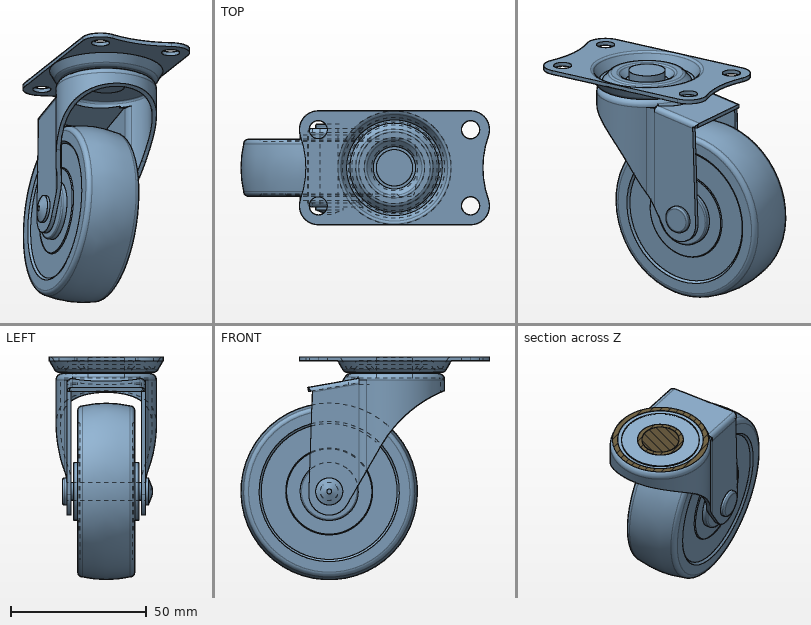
import cadquery as cq
import math


PLATE_THICKNESS = 1.5
HOLE_X = 28.0
HOLE_Y = 14.0
HOLE_DIAMETER = 6.6
CORNER_RADIUS = 7.0
PLATE_HALF_WIDTH = HOLE_Y + CORNER_RADIUS
WAIST_RADIUS = 35.0

PRESSED_RADIUS = 20.9
DISH_RIM_RADIUS = 20.0
GROOVE_OUTER_RADIUS = 17.6
GROOVE_INNER_RADIUS = 16.4
RING_OUTER_RADIUS = 13.8
RING_INNER_RADIUS = 10.5
WELL_RADIUS = 7.8
GROOVE_Z = -4.2
RING_Z = -1.3
PRESSED_BEND_RADIUS = 1.3
DISH_BOTTOM_RADIUS = 2.0

KING_PIN_RADIUS = 6.7
KING_PIN_TOP_Z = -0.3

SHEET = 1.6
CAP_RADIUS = 18.5
CAP_TOP_Z = -6.1
CAP_EDGE_RADIUS = 2.4
RACE_BOSS_RADIUS = 14.3
LEG_OUTER_Y = 14.5
LEG_INNER_Y = LEG_OUTER_Y - SHEET
BLEND_RADIUS = 5.0
BRIDGE_SLOPE = math.radians(10)
BRIDGE_FRONT_X = -31.9
BRIDGE_FRONT_Z = -11.2
BRIDGE_BEND_RADIUS = 2.0
BRIDGE_CORNER_RADIUS = 1.7
RAMP_SLOPE = math.radians(60)
RAMP_FOOT_RADIUS = 19.3
LEG_TOP_FRONT_X = -30.2
LEG_TIP_RADIUS = 7.5
LEG_TIP_DROP = 1.2
SKIRT_SLOPE = math.radians(60)
SKIRT_BEND_X = -5.0
SKIRT_END_Z = -12.4

AXLE_X = -24.0
AXLE_Z = -49.5
WHEEL_RADIUS = 32.5
WHEEL_HALF_WIDTH = 10.5
TREAD_HALF_WIDTH = 8.8
TREAD_EDGE_RADIUS = 31.5
SHOULDER_RADIUS = 29.7
RECESS_RIM_RADIUS = 25.8
RECESS_FLOOR_RADIUS = 25.0
RECESS_DEPTH = 0.8
STEP_OUTER_RADIUS = 16.0
STEP_INNER_RADIUS = 15.7
STEP_HEIGHT = 0.4
HUB_RADIUS = 10.7
HUB_HALF_WIDTH = 12.1
HUB_ROUND = 0.5

AXLE_RADIUS = 3.3
HEAD_RADIUS = 5.0
FLAT_HEAD_HEIGHT = 1.6
FLAT_HEAD_ROUND = 0.7
DOME_RIM_HEIGHT = 1.0
DOME_HEIGHT = 2.6
DIMPLE_RADIUS = 0.9
DIMPLE_DEPTH = 0.6

TOLERANCE = 0.001


def mirrored(points):
    """Points followed by their mirror image across the middle of the axle."""
    return points + [(-y, r) for y, r in reversed(points)]


def disc(radius, bottom, top):
    return cq.Workplane("XY", origin=(0, 0, bottom)).circle(radius).extrude(top - bottom)


def fillet_circle(body, radius, centre, fillet_radius):
    """Fillet the circular edge that has the given radius and centre."""
    middle = cq.Vector(*centre)

    def matches(edge):
        return abs(edge.radius() - radius) < TOLERANCE and (edge.Center() - middle).Length < TOLERANCE

    return body.newObject(list(filter(matches, body.edges("%CIRCLE").vals()))).fillet(fillet_radius)


def side_prism(outline, half_width):
    """Extrude an XZ outline symmetrically about the Y = 0 plane."""
    return outline.close().extrude(half_width, both=True)


def plate_blank():
    reach = WAIST_RADIUS + CORNER_RADIUS
    rise = math.asin(HOLE_Y / reach)
    waist_x = HOLE_X + reach * math.cos(rise) - WAIST_RADIUS
    touch_x = HOLE_X + CORNER_RADIUS * math.cos(rise)
    touch_y = HOLE_Y - CORNER_RADIUS * math.sin(rise)
    corner_middle = (math.pi / 2 - rise) / 2
    bulge_x = HOLE_X + CORNER_RADIUS * math.cos(corner_middle)
    bulge_y = HOLE_Y + CORNER_RADIUS * math.sin(corner_middle)

    outline = cq.Workplane("XY", origin=(0, 0, -PLATE_THICKNESS)).moveTo(-HOLE_X, -PLATE_HALF_WIDTH)
    for side in (1, -1):
        outline = (
            outline.lineTo(side * HOLE_X, -side * PLATE_HALF_WIDTH)
            .threePointArc((side * bulge_x, -side * bulge_y), (side * touch_x, -side * touch_y))
            .threePointArc((side * waist_x, 0), (side * touch_x, side * touch_y))
            .threePointArc((side * bulge_x, side * bulge_y), (side * HOLE_X, side * PLATE_HALF_WIDTH))
        )
    blank = outline.close().extrude(PLATE_THICKNESS)
    holes = (
        cq.Workplane("XY", origin=(0, 0, -PLATE_THICKNESS))
        .rect(2 * HOLE_X, 2 * HOLE_Y, forConstruction=True)
        .vertices()
        .circle(HOLE_DIAMETER / 2)
        .extrude(PLATE_THICKNESS)
    )
    return blank.cut(holes)


def offset_corners(points, distance):
    """Shift a polyline to its right by a distance, with mitred corners."""
    headings = [
        math.atan2(z2 - z1, r2 - r1) for (r1, z1), (r2, z2) in zip(points, points[1:])
    ]
    before = [headings[0]] + headings
    after = headings + [headings[-1]]
    shifted = []
    for (r, z), start, end in zip(points, before, after):
        middle = (start + end) / 2
        reach = distance / math.cos((end - start) / 2)
        shifted.append((r + reach * math.sin(middle), z - reach * math.cos(middle)))
    return shifted


def raceway():
    upper = [
        (KING_PIN_RADIUS, GROOVE_Z),
        (WELL_RADIUS, GROOVE_Z),
        (RING_INNER_RADIUS, RING_Z),
        (RING_OUTER_RADIUS, RING_Z),
        (GROOVE_INNER_RADIUS, GROOVE_Z),
        (GROOVE_OUTER_RADIUS, GROOVE_Z),
        (DISH_RIM_RADIUS, 0),
        (PRESSED_RADIUS, 0),
    ]
    lower = offset_corners(upper, PLATE_THICKNESS)
    outline = cq.Workplane("XZ").polyline(upper + lower[::-1]).close()
    sheet = outline.revolve(360, (0, 0, 0), (0, 1, 0))
    raised_bends = [(RING_INNER_RADIUS, RING_Z), (RING_OUTER_RADIUS, RING_Z), (DISH_RIM_RADIUS, 0)]
    for radius, height in raised_bends:
        sheet = fillet_circle(sheet, radius, (0, 0, height), PRESSED_BEND_RADIUS)
    bottom_radius, bottom_z = lower[upper.index((GROOVE_OUTER_RADIUS, GROOVE_Z))]
    return fillet_circle(sheet, bottom_radius, (0, 0, bottom_z), DISH_BOTTOM_RADIUS)


def make_plate():
    opening = disc(PRESSED_RADIUS, -PLATE_THICKNESS, 0)
    return plate_blank().cut(opening).union(raceway())


def make_king_pin():
    return disc(KING_PIN_RADIUS, CAP_TOP_Z - SHEET, KING_PIN_TOP_Z)


FORK_BOTTOM_Z = AXLE_Z - LEG_TIP_DROP - LEG_TIP_RADIUS
BLEND_START_X = -math.sqrt((CAP_RADIUS + BLEND_RADIUS) ** 2 - (LEG_OUTER_Y + BLEND_RADIUS) ** 2)
CAP_EDGE_Z = CAP_TOP_Z - CAP_EDGE_RADIUS
BRIDGE_DROP = SHEET / math.cos(BRIDGE_SLOPE)


def bridge_z(x):
    return BRIDGE_FRONT_Z + (x - BRIDGE_FRONT_X) * math.tan(BRIDGE_SLOPE)


def blend_wedges(sheet_inset, top):
    """Corner fill between legs and round skirt, for the outer or the inset inner surface."""
    leg_y = LEG_OUTER_Y - sheet_inset
    arc_radius = BLEND_RADIUS + sheet_inset
    centre_y = LEG_OUTER_Y + BLEND_RADIUS
    to_axis = math.atan2(-centre_y, -BLEND_START_X)
    mid_angle = (to_axis - math.pi / 2) / 2
    arc_points = [
        (BLEND_START_X + arc_radius * math.cos(angle), centre_y + arc_radius * math.sin(angle))
        for angle in (mid_angle, to_axis)
    ]
    wedge = (
        cq.Workplane("XY", origin=(0, 0, FORK_BOTTOM_Z))
        .moveTo(BLEND_START_X, leg_y)
        .threePointArc(*arc_points)
        .lineTo(arc_points[1][0], 0)
        .lineTo(BLEND_START_X, 0)
        .close()
        .extrude(top - FORK_BOTTOM_Z)
    )
    return wedge.union(wedge.mirror("XZ"))


def cap_ramp():
    """Cone tangent to the rounded cap edge, kept only over the flat of the bridge."""
    head_radius = CAP_RADIUS - CAP_EDGE_RADIUS * (1 - math.sin(RAMP_SLOPE))
    head_z = CAP_EDGE_Z + CAP_EDGE_RADIUS * math.cos(RAMP_SLOPE)
    foot_z = head_z - (RAMP_FOOT_RADIUS - head_radius) * math.tan(RAMP_SLOPE)
    inner_radius = CAP_RADIUS - SHEET / 2
    section = [
        (inner_radius, foot_z),
        (RAMP_FOOT_RADIUS, foot_z),
        (head_radius, head_z),
        (inner_radius, head_z),
    ]
    cone = cq.Workplane("XZ").polyline(section).close().revolve(360, (0, 0, 0), (0, 1, 0))
    flat_half_width = LEG_OUTER_Y - BRIDGE_BEND_RADIUS
    keep = cq.Workplane("XY").box(
        RAMP_FOOT_RADIUS, 2 * flat_half_width, -FORK_BOTTOM_Z, centered=(False, True, False)
    )
    return cone.intersect(keep.translate((-RAMP_FOOT_RADIUS, 0, FORK_BOTTOM_Z)))


def bridge_corners():
    """Material outside the rounded front corners of the bridge."""
    depth = BRIDGE_FRONT_Z - BRIDGE_DROP
    half_chord = BRIDGE_CORNER_RADIUS * math.sqrt(0.5)
    centre_x = BRIDGE_FRONT_X + BRIDGE_CORNER_RADIUS
    centre_y = LEG_OUTER_Y - BRIDGE_CORNER_RADIUS
    corner = (
        cq.Workplane("XY")
        .moveTo(BRIDGE_FRONT_X, LEG_OUTER_Y)
        .lineTo(BRIDGE_FRONT_X, centre_y)
        .threePointArc((centre_x - half_chord, centre_y + half_chord), (centre_x, LEG_OUTER_Y))
        .close()
        .extrude(depth)
    )
    return corner.union(corner.mirror("XZ"))


def fork_outside():
    cap = disc(CAP_RADIUS, FORK_BOTTOM_Z, CAP_TOP_Z).faces(">Z").edges().fillet(CAP_EDGE_RADIUS)
    strip = side_prism(
        cq.Workplane("XZ")
        .moveTo(BRIDGE_FRONT_X, BRIDGE_FRONT_Z)
        .lineTo(BLEND_START_X, bridge_z(BLEND_START_X))
        .lineTo(BLEND_START_X, FORK_BOTTOM_Z)
        .lineTo(BRIDGE_FRONT_X, FORK_BOTTOM_Z),
        LEG_OUTER_Y,
    )
    strip = strip.faces(">Z").edges(">Y or <Y").fillet(BRIDGE_BEND_RADIUS)
    boss = disc(RACE_BOSS_RADIUS, CAP_TOP_Z, GROOVE_Z - PLATE_THICKNESS)
    return cap.union(strip).union(blend_wedges(0, CAP_EDGE_Z)).union(boss).union(cap_ramp())


def fork_inside():
    cap_space = disc(CAP_RADIUS - SHEET, FORK_BOTTOM_Z, CAP_TOP_Z - SHEET)
    cap_space = cap_space.faces(">Z").edges().fillet(CAP_EDGE_RADIUS - SHEET)
    strip_space = side_prism(
        cq.Workplane("XZ")
        .moveTo(BRIDGE_FRONT_X, BRIDGE_FRONT_Z - BRIDGE_DROP)
        .lineTo(BLEND_START_X, bridge_z(BLEND_START_X) - BRIDGE_DROP)
        .lineTo(BLEND_START_X, FORK_BOTTOM_Z)
        .lineTo(BRIDGE_FRONT_X, FORK_BOTTOM_Z),
        LEG_INNER_Y,
    )
    return cap_space.union(strip_space).union(blend_wedges(SHEET, CAP_EDGE_Z - SHEET))


def fork_trim():
    """Side outline that keeps the legs, the bridge and the curved skirt."""
    tip_z = AXLE_Z - LEG_TIP_DROP
    line_x = math.cos(SKIRT_SLOPE)
    line_z = math.sin(SKIRT_SLOPE)
    tangent_x = AXLE_X + LEG_TIP_RADIUS * line_z
    tangent_z = tip_z - LEG_TIP_RADIUS * line_x
    bend_z = tangent_z + (SKIRT_BEND_X - tangent_x) * math.tan(SKIRT_SLOPE)
    underside_x = BRIDGE_FRONT_X + SHEET * math.sin(BRIDGE_SLOPE)
    underside_z = BRIDGE_FRONT_Z - SHEET * math.cos(BRIDGE_SLOPE)
    top_z = GROOVE_Z - PLATE_THICKNESS
    return side_prism(
        cq.Workplane("XZ")
        .moveTo(AXLE_X - LEG_TIP_RADIUS, tip_z)
        .threePointArc((AXLE_X, tip_z - LEG_TIP_RADIUS), (tangent_x, tangent_z))
        .lineTo(SKIRT_BEND_X, bend_z)
        .tangentArcPoint((CAP_RADIUS, SKIRT_END_Z), relative=False)
        .lineTo(CAP_RADIUS, top_z)
        .lineTo(BRIDGE_FRONT_X, top_z)
        .lineTo(BRIDGE_FRONT_X, BRIDGE_FRONT_Z)
        .lineTo(underside_x, underside_z)
        .lineTo(LEG_TOP_FRONT_X, bridge_z(LEG_TOP_FRONT_X) - BRIDGE_DROP),
        CAP_RADIUS,
    )


def make_fork():
    fork = fork_outside().cut(fork_inside()).intersect(fork_trim()).cut(bridge_corners())
    king_pin_hole = disc(KING_PIN_RADIUS, CAP_TOP_Z - SHEET, GROOVE_Z)
    return fork.cut(king_pin_hole).cut(axle_bar(LEG_OUTER_Y))


def turn_about_axle(profile):
    """Revolve a closed (Y, radius) profile about the axle."""
    return profile.close().revolve(360, (0, 0, 0), (1, 0, 0))


def axle_plane():
    """Sketch plane whose first axis runs along +Y and second axis along +Z from the axle."""
    return cq.Workplane(cq.Plane((AXLE_X, 0, AXLE_Z), xDir=(0, 1, 0), normal=(1, 0, 0)))


def axle_bar(half_length):
    outline = axle_plane().moveTo(-half_length, 0).lineTo(-half_length, AXLE_RADIUS)
    return turn_about_axle(outline.lineTo(half_length, AXLE_RADIUS).lineTo(half_length, 0))


def make_wheel():
    recess_y = WHEEL_HALF_WIDTH - RECESS_DEPTH
    step_y = recess_y + STEP_HEIGHT
    side = [
        (WHEEL_HALF_WIDTH, SHOULDER_RADIUS),
        (WHEEL_HALF_WIDTH, RECESS_RIM_RADIUS),
        (recess_y, RECESS_FLOOR_RADIUS),
        (recess_y, STEP_OUTER_RADIUS),
        (step_y, STEP_INNER_RADIUS),
        (step_y, HUB_RADIUS),
        (HUB_HALF_WIDTH, HUB_RADIUS),
        (HUB_HALF_WIDTH, AXLE_RADIUS),
    ]
    outline = mirrored(side)
    shoulder_width = WHEEL_HALF_WIDTH - TREAD_HALF_WIDTH
    shoulder_height = TREAD_EDGE_RADIUS - SHOULDER_RADIUS
    bulge = math.sqrt(0.5)
    bulge_y = TREAD_HALF_WIDTH + bulge * shoulder_width
    bulge_radius = SHOULDER_RADIUS + bulge * shoulder_height
    profile = (
        axle_plane()
        .polyline(outline)
        .threePointArc((-bulge_y, bulge_radius), (-TREAD_HALF_WIDTH, TREAD_EDGE_RADIUS))
        .threePointArc((0, WHEEL_RADIUS), (TREAD_HALF_WIDTH, TREAD_EDGE_RADIUS))
        .threePointArc((bulge_y, bulge_radius), outline[0])
    )
    wheel = turn_about_axle(profile)
    for side in (-1, 1):
        hub_face_centre = (AXLE_X, side * HUB_HALF_WIDTH, AXLE_Z)
        wheel = fillet_circle(wheel, HUB_RADIUS, hub_face_centre, HUB_ROUND)
    return wheel


def make_axle():
    flat_end = LEG_OUTER_Y + FLAT_HEAD_HEIGHT
    rim_end = LEG_OUTER_Y + DOME_RIM_HEIGHT
    dome_end = LEG_OUTER_Y + DOME_HEIGHT
    profile = (
        axle_plane()
        .moveTo(flat_end, 0)
        .lineTo(flat_end, HEAD_RADIUS - FLAT_HEAD_ROUND)
        .tangentArcPoint((flat_end - FLAT_HEAD_ROUND, HEAD_RADIUS), relative=False)
        .lineTo(LEG_OUTER_Y, HEAD_RADIUS)
        .lineTo(LEG_OUTER_Y, AXLE_RADIUS)
        .lineTo(-LEG_OUTER_Y, AXLE_RADIUS)
        .lineTo(-LEG_OUTER_Y, HEAD_RADIUS)
        .lineTo(-rim_end, HEAD_RADIUS)
        .lineTo(-dome_end, DIMPLE_RADIUS)
        .lineTo(DIMPLE_DEPTH - dome_end, DIMPLE_RADIUS)
        .lineTo(DIMPLE_DEPTH - dome_end, 0)
    )
    return turn_about_axle(profile)


plate = make_plate()
king_pin = make_king_pin()
fork = make_fork()
wheel = make_wheel()
axle = make_axle()

result = cq.Compound.makeCompound(
    [plate.val(), king_pin.val(), fork.val(), wheel.val(), axle.val()]
)